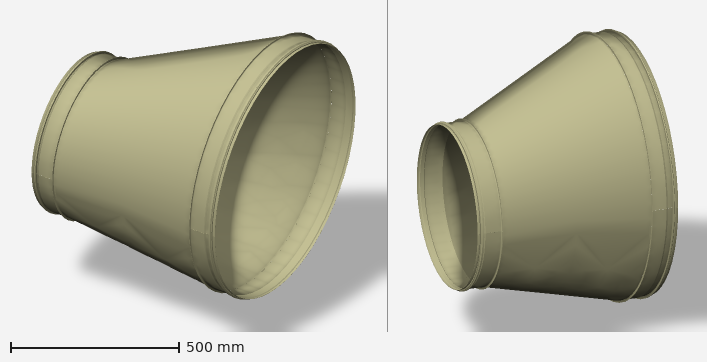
import cadquery as cq


TOTAL_LENGTH = 639.0
SMALL_OD = 498.5
LARGE_OD = 798.5
WALL = 0.4

SMALL_AXIS_Y = -(LARGE_OD - SMALL_OD) / 2

SMALL_COLLAR_LENGTH = 77.0
LARGE_COLLAR_LENGTH = 84.5
RIM_TAPER_LENGTH = 3.0
RIM_TAPER_DROP = 1.0
GROOVE_START = 10.0
GROOVE_DEPTH = 2.5
GROOVE_RAMP = 2.5
SMALL_GROOVE_END = 22.0
LARGE_GROOVE_END = 32.5
LARGE_GROOVE_RAMP = 5.0
FLANGE_HEIGHT = 7.0
FLANGE_THICKNESS = 1.0
FLANGE_BEND = 2.5
SLIT_WIDTH = 0.4

SEAL_WIDTH = 7.0
SEAL_BASE_HEIGHT = 4.0
SEAL_LIP_HEIGHT = 7.7
SEAL_LIP_WIDTH = 3.0
SEAL_SHOULDER_WIDTH = 2.0

NECK_LENGTH = 5.0


def revolve_about_x(points):
    """Ring whose half section is given as (distance along X, radius) points, started on the -Y side."""
    return cq.Workplane("XY").polyline([(x, -r) for x, r in points]).close().revolve(360, (0, 0), (1, 0))


def make_collar(outer_diameter, length, groove_end, groove_ramp):
    """Thin tube open at x = 0, with a seal groove, an end flange and a joint slit on the -Y side."""
    radius = outer_diameter / 2
    flange_radius = radius + FLANGE_HEIGHT
    flange_start = length - FLANGE_THICKNESS
    tube_profile = [
        (0, radius - RIM_TAPER_DROP),
        (RIM_TAPER_LENGTH, radius),
        (GROOVE_START - GROOVE_RAMP, radius),
        (GROOVE_START, radius - GROOVE_DEPTH),
        (groove_end, radius - GROOVE_DEPTH),
        (groove_end + groove_ramp, radius),
        (length, radius),
    ]
    bore_profile = [(x, r - WALL) for x, r in reversed(tube_profile)]
    tube = revolve_about_x(tube_profile + bore_profile)

    flange = (
        cq.Workplane("XY")
        .moveTo(flange_start - FLANGE_BEND, WALL - radius)
        .lineTo(flange_start - FLANGE_BEND, -radius)
        .radiusArc((flange_start, -radius - FLANGE_BEND), FLANGE_BEND)
        .lineTo(flange_start, -flange_radius)
        .lineTo(length, -flange_radius)
        .lineTo(length, WALL - radius)
        .close()
        .revolve(360, (0, 0), (1, 0))
    )

    slit = cq.Workplane("XY").box(length, radius, SLIT_WIDTH).translate((length / 2, -radius, 0))
    return tube.union(flange).cut(slit)


def make_seal(outer_diameter):
    """Ring on the groove floor with a lip that leans away from the open end at x = 0."""
    floor_radius = outer_diameter / 2 - GROOVE_DEPTH
    seal_end = GROOVE_START + SEAL_WIDTH
    return revolve_about_x([
        (GROOVE_START, floor_radius),
        (GROOVE_START, floor_radius + SEAL_BASE_HEIGHT),
        (GROOVE_START + SEAL_SHOULDER_WIDTH, floor_radius + SEAL_BASE_HEIGHT),
        (seal_end - SEAL_LIP_WIDTH, floor_radius + SEAL_LIP_HEIGHT),
        (seal_end, floor_radius + SEAL_LIP_HEIGHT),
        (seal_end, floor_radius),
    ])


def place_small(body):
    """Move a body onto the small axis, open end at x = 0."""
    return body.translate((0, SMALL_AXIS_Y, 0))


def place_large(body):
    """Turn a body's open end to the far end of the reducer."""
    return body.mirror("YZ").translate((TOTAL_LENGTH, 0, 0))


def cone_solid(inset):
    """Solid oblique cone with round necks, its radii reduced by inset."""
    small_radius = SMALL_OD / 2 - inset
    large_radius = LARGE_OD / 2 - inset
    start = SMALL_COLLAR_LENGTH
    end = TOTAL_LENGTH - LARGE_COLLAR_LENGTH
    small_neck = cq.Workplane("YZ", (start, SMALL_AXIS_Y, 0)).circle(small_radius).extrude(NECK_LENGTH)
    large_neck = cq.Workplane("YZ", (end, 0, 0)).circle(large_radius).extrude(-NECK_LENGTH)
    taper = (
        cq.Workplane("YZ", (start + NECK_LENGTH, SMALL_AXIS_Y, 0))
        .circle(small_radius)
        .workplane(offset=end - start - 2 * NECK_LENGTH)
        .center(-SMALL_AXIS_Y, 0)
        .circle(large_radius)
        .loft(ruled=True)
    )
    return taper.union(small_neck).union(large_neck)


small_collar = place_small(make_collar(SMALL_OD, SMALL_COLLAR_LENGTH, SMALL_GROOVE_END, GROOVE_RAMP))
large_collar = place_large(make_collar(LARGE_OD, LARGE_COLLAR_LENGTH, LARGE_GROOVE_END, LARGE_GROOVE_RAMP))
small_seal = place_small(make_seal(SMALL_OD))
large_seal = place_large(make_seal(LARGE_OD))
cone = cone_solid(0).cut(cone_solid(WALL))

result = cq.Compound.makeCompound([
    small_collar.val(),
    large_collar.val(),
    small_seal.val(),
    large_seal.val(),
    cone.val(),
])